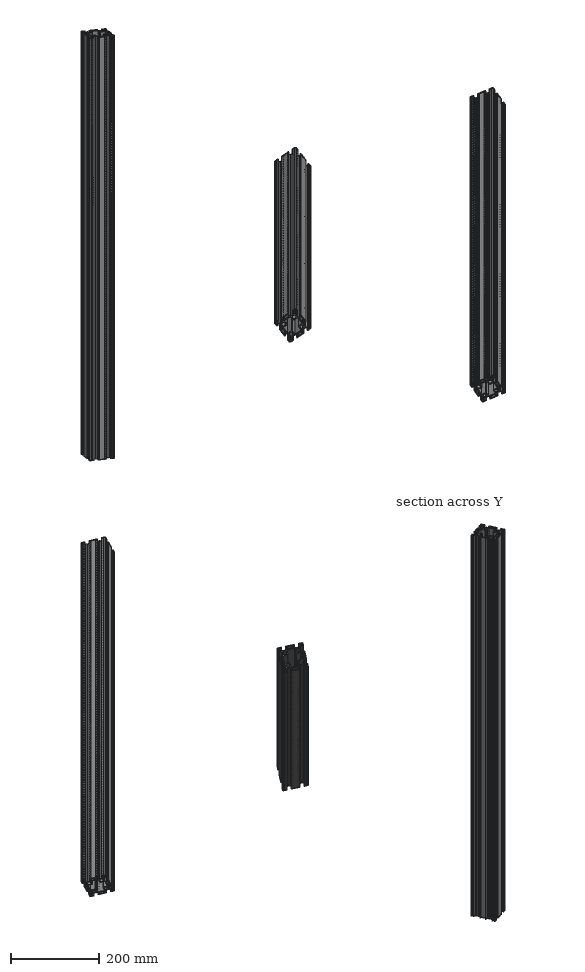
import cadquery as cq
side = 60.0
length = 1000.0
corner_radius = 2.5

slot_offset = 15.0
slot_opening = 10.0
lip_thickness = 2.7
undercut_width = 16.0
undercut_straight = 2.5
slot_floor_width = 10.0
slot_depth = 8.4
floor_groove_width = 4.0
floor_groove_depth = 1.0

cross_reach = 20.5
cross_arm_width = 17.5
cross_corner_chamfer = 1.5

core_hole_diameter = 8.5

side_hollow_outer_width = 11.5
side_hollow_width = 12.5
side_hollow_taper = 1.5
side_hollow_wall = 2.25
side_hollow_inner = 23.25

corner_hollow_size = 4.5
corner_hollow_wall = 1.0
corner_hollow_chamfer = 2.5

half = side / 2
quarter_turns = (0, 90, 180, 270)


def prism(points):
    """Full-length prism with the given XY outline."""
    return cq.Workplane("XY").polyline(points).close().extrude(length)


def mirrored(right_half):
    """Close a half outline by mirroring it about the Y axis."""
    return right_half + [(-x, y) for x, y in reversed(right_half)]


def cut_on_each_side(body, cutter):
    """Cut the same prism from the body at each quarter turn about Z."""
    for angle in quarter_turns:
        body = body.cut(cutter.rotate((0, 0, 0), (0, 0, 1), angle))
    return body


def slot():
    """T-slot in the +Y side, centred on X = 0, with a groove in its floor."""
    lip_y = half - lip_thickness
    floor_y = half - slot_depth
    return prism(mirrored([
        (slot_opening / 2, half),
        (slot_opening / 2, lip_y),
        (undercut_width / 2, lip_y),
        (undercut_width / 2, lip_y - undercut_straight),
        (slot_floor_width / 2, floor_y),
        (floor_groove_width / 2, floor_y),
        (floor_groove_width / 2, floor_y - floor_groove_depth),
    ]))


def central_hollow():
    """Cross-shaped hollow with chamfered inner corners."""
    arm = cross_arm_width / 2
    arm_end = arm + cross_corner_chamfer
    upright = cq.Workplane("XY").rect(cross_arm_width, 2 * cross_reach).extrude(length)
    level = cq.Workplane("XY").rect(2 * cross_reach, cross_arm_width).extrude(length)
    middle = prism([
        (arm_end, arm), (arm, arm_end), (-arm, arm_end), (-arm_end, arm),
        (-arm_end, -arm), (-arm, -arm_end), (arm, -arm_end), (arm_end, -arm),
    ])
    return upright.union(level).union(middle)


def side_hollow():
    """Hollow behind the middle of the +Y side, narrowing towards the outer wall."""
    outer_y = half - side_hollow_wall
    return prism(mirrored([
        (side_hollow_outer_width / 2, outer_y),
        (side_hollow_width / 2, outer_y - side_hollow_taper),
        (side_hollow_width / 2, side_hollow_inner),
    ]))


def corner_hollow():
    """Square hollow in the +X +Y corner, chamfered towards the outside."""
    outer = half - corner_hollow_wall
    inner = outer - corner_hollow_size
    return prism([
        (inner, inner),
        (inner, outer),
        (outer - corner_hollow_chamfer, outer),
        (outer, outer - corner_hollow_chamfer),
        (outer, inner),
    ])


def core_holes():
    """Round holes through the four cores."""
    return (
        cq.Workplane("XY")
        .rect(2 * slot_offset, 2 * slot_offset, forConstruction=True)
        .vertices()
        .circle(core_hole_diameter / 2)
        .extrude(length)
    )


result = cq.Workplane("XY").rect(side, side).extrude(length)
result = result.edges("|Z").fillet(corner_radius)
for offset in (-slot_offset, slot_offset):
    result = cut_on_each_side(result, slot().translate((offset, 0, 0)))
result = result.cut(central_hollow())
result = cut_on_each_side(result, side_hollow())
result = cut_on_each_side(result, corner_hollow())
result = result.cut(core_holes())